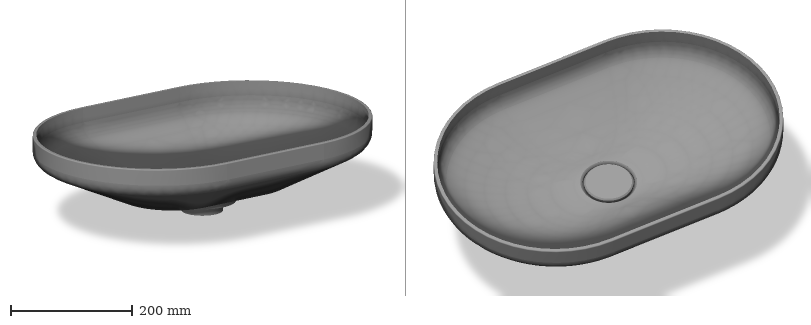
import cadquery as cq

LENGTH = 600.0
WIDTH = 400.0
RIM_Z = 146.0
TILT_ANGLE = 0.45

SHELL_BOTTOM_Z = 36.5
SHELL_KNEE_Z = 104.0
FOOT_LENGTH = 307.0
FOOT_WIDTH = 180.0
KNEE_RADIUS = 24.0
RIM_EDGE_RADIUS = 2.0

WALL = 6.0
FLOOR_Z = 44.0
BOWL_KNEE_Z = 105.5
BOWL_KNEE_RADIUS = 27.0
LENGTH_POWER = 2.2
WIDTH_POWER = 1.5
BOWL_RISES = (0.001, 0.02, 0.1, 0.25, 0.5, 0.75, 1.0)

HOLE_RADIUS = 43.0
HOLE_CHAMFER = 3.5
COLLAR_RADIUS = 56.5
COLLAR_EDGE_Z = 17.5
TAIL_RADIUS = 35.0
TAIL_TOP_Z = 14.5
PLUG_RADIUS = 41.0
PLUG_CHAMFER = 2.5
PLUG_TOP_Z = 45.0


def stadium(length, width, z):
    """Closed stadium outline at height z, long side along Y."""
    radius = width / 2
    straight = (length - width) / 2
    return (
        cq.Workplane("XY", origin=(0, 0, z))
        .moveTo(radius, -straight)
        .lineTo(radius, straight)
        .threePointArc((0, length / 2), (-radius, straight))
        .lineTo(-radius, -straight)
        .threePointArc((0, -length / 2), (radius, -straight))
        .close()
    )


def loft_stadiums(sections, ruled):
    """Solid through stadium sections given as (length, width, z)."""
    wires = [stadium(*section).val() for section in sections]
    return cq.Workplane(cq.Solid.makeLoft(wires, ruled))


def knee_edges(body, z):
    """The closed loop of edges lying at height z."""
    tolerance = 0.05
    box = cq.selectors.BoxSelector((-LENGTH, -LENGTH, z - tolerance), (LENGTH, LENGTH, z + tolerance), True)
    return body.edges(box)


def make_shell():
    """Outer form: upright wall over an underside that tapers to a flat foot."""
    wall = stadium(LENGTH, WIDTH, SHELL_KNEE_Z).extrude(RIM_Z - SHELL_KNEE_Z)
    foot = (FOOT_LENGTH, FOOT_WIDTH, SHELL_BOTTOM_Z)
    taper = loft_stadiums([foot, (LENGTH, WIDTH, SHELL_KNEE_Z)], True)
    shell = knee_edges(wall.union(taper), SHELL_KNEE_Z).fillet(KNEE_RADIUS)
    return shell.faces(">Z").edges().fillet(RIM_EDGE_RADIUS)


def make_bowl():
    """Space inside the basin: a curved floor that turns up into the wall."""
    length = LENGTH - 2 * WALL
    width = WIDTH - 2 * WALL
    drain = 2 * (HOLE_RADIUS + HOLE_CHAMFER)
    sections = []
    for rise in BOWL_RISES:
        section_length = drain + (length - drain) * rise ** (1 / LENGTH_POWER)
        section_width = drain + (width - drain) * rise ** (1 / WIDTH_POWER)
        z = FLOOR_Z + (BOWL_KNEE_Z - FLOOR_Z) * rise
        sections.append((section_length, section_width, z))
    floor = loft_stadiums(sections, False)
    wall = stadium(length, width, BOWL_KNEE_Z).extrude(RIM_Z - BOWL_KNEE_Z)
    return knee_edges(wall.union(floor), BOWL_KNEE_Z).fillet(BOWL_KNEE_RADIUS)


def make_drain_opening():
    """Round hole through the floor with a chamfered upper edge, as a solid reaching into the bowl."""
    edge_radius = HOLE_RADIUS + HOLE_CHAMFER
    return (
        cq.Workplane("XZ")
        .moveTo(0, SHELL_BOTTOM_Z)
        .lineTo(HOLE_RADIUS, SHELL_BOTTOM_Z)
        .lineTo(HOLE_RADIUS, FLOOR_Z - HOLE_CHAMFER)
        .lineTo(edge_radius, FLOOR_Z)
        .lineTo(edge_radius, PLUG_TOP_Z)
        .lineTo(0, PLUG_TOP_Z)
        .close()
        .revolve()
    )


def make_basin():
    """Thin-walled basin with the drain opening in its floor."""
    return make_shell().cut(make_bowl()).cut(make_drain_opening())


def make_drain():
    """Drain under the basin: a collar with a conical underside above a narrower tail."""
    return (
        cq.Workplane("XZ")
        .lineTo(TAIL_RADIUS, 0)
        .lineTo(TAIL_RADIUS, TAIL_TOP_Z)
        .lineTo(COLLAR_RADIUS, COLLAR_EDGE_Z)
        .lineTo(COLLAR_RADIUS, SHELL_BOTTOM_Z)
        .lineTo(0, SHELL_BOTTOM_Z)
        .close()
        .revolve()
    )


def make_plug():
    """Flat round plug standing on the drain, inside the opening, with a narrow gap around it."""
    return (
        cq.Workplane("XY", origin=(0, 0, SHELL_BOTTOM_Z))
        .circle(PLUG_RADIUS)
        .extrude(PLUG_TOP_Z - SHELL_BOTTOM_Z)
        .faces(">Z")
        .edges()
        .chamfer(PLUG_CHAMFER)
    )


def tilt(body):
    """Lean a body toward +X about the lower end of the drain."""
    return body.rotate((0, 0, 0), (0, 1, 0), TILT_ANGLE)


basin = tilt(make_basin())
drain = tilt(make_drain())
plug = tilt(make_plug())

result = cq.Compound.makeCompound([basin.val(), drain.val(), plug.val()])